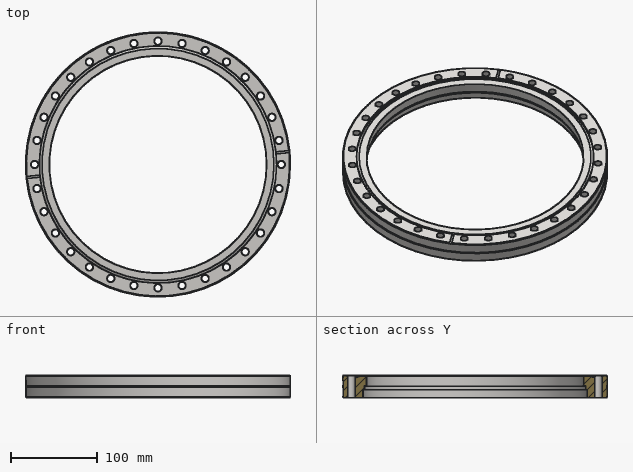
import cadquery as cq
import math

outer_radius = 152.5
bore_radius = 125.0
thickness = 26.0
mid_height = thickness / 2
rim_chamfer = 1.0

seat_radius = 127.5
seat_top = 13.5
mouth_radius = 129.0
mouth_top = 9.0

recess_radius = 136.5
knife_radius = 133.5
knife_depth = 1.07
knife_slope = 20.0
recess_depth = knife_depth + (recess_radius - knife_radius) * math.tan(math.radians(knife_slope))

rim_groove_width = 1.5
rim_groove_depth = 0.5

bolt_count = 32
bolt_circle_radius = 142.0
bolt_hole_diameter = 8.2

leak_groove_angle = 360 / bolt_count / 2
leak_groove_radius = 1.2
leak_groove_overrun = 1.0


def ring_body():
    """Turned ring with its bore, socket, sealing face and rim groove."""
    knife_height = thickness - knife_depth
    return (
        cq.Workplane("XZ")
        .moveTo(mouth_radius, 0)
        .lineTo(outer_radius - rim_chamfer, 0)
        .lineTo(outer_radius, rim_chamfer)
        .lineTo(outer_radius, mid_height - rim_groove_width / 2)
        .lineTo(outer_radius - rim_groove_depth, mid_height)
        .lineTo(outer_radius, mid_height + rim_groove_width / 2)
        .lineTo(outer_radius, thickness - rim_chamfer)
        .lineTo(outer_radius - rim_chamfer, thickness)
        .lineTo(recess_radius, thickness)
        .lineTo(recess_radius, thickness - recess_depth)
        .lineTo(knife_radius, knife_height)
        .lineTo(bore_radius, knife_height)
        .lineTo(bore_radius, seat_top)
        .lineTo(seat_radius, seat_top)
        .lineTo(seat_radius, mouth_top)
        .lineTo(mouth_radius, mouth_top)
        .close()
        .revolve(360, (0, 0, 0), (0, 1, 0))
    )


def bolt_holes():
    """Cutters for the full circle of through holes."""
    return (
        cq.Workplane("XY")
        .polarArray(bolt_circle_radius, 0, 360, bolt_count)
        .circle(bolt_hole_diameter / 2)
        .extrude(thickness)
    )


def leak_groove(angle):
    """Radial U-shaped cutter in the top face, from the gasket recess out through the rim."""
    start = recess_radius - leak_groove_overrun
    end = outer_radius + leak_groove_overrun
    return (
        cq.Workplane("YZ", origin=(start, 0, thickness))
        .moveTo(-leak_groove_radius, leak_groove_overrun)
        .lineTo(-leak_groove_radius, 0)
        .threePointArc((0, -leak_groove_radius), (leak_groove_radius, 0))
        .lineTo(leak_groove_radius, leak_groove_overrun)
        .close()
        .extrude(end - start)
        .rotate((0, 0, 0), (0, 0, 1), angle)
    )


result = ring_body().cut(bolt_holes())
for opposite in (0, 180):
    result = result.cut(leak_groove(leak_groove_angle + opposite))